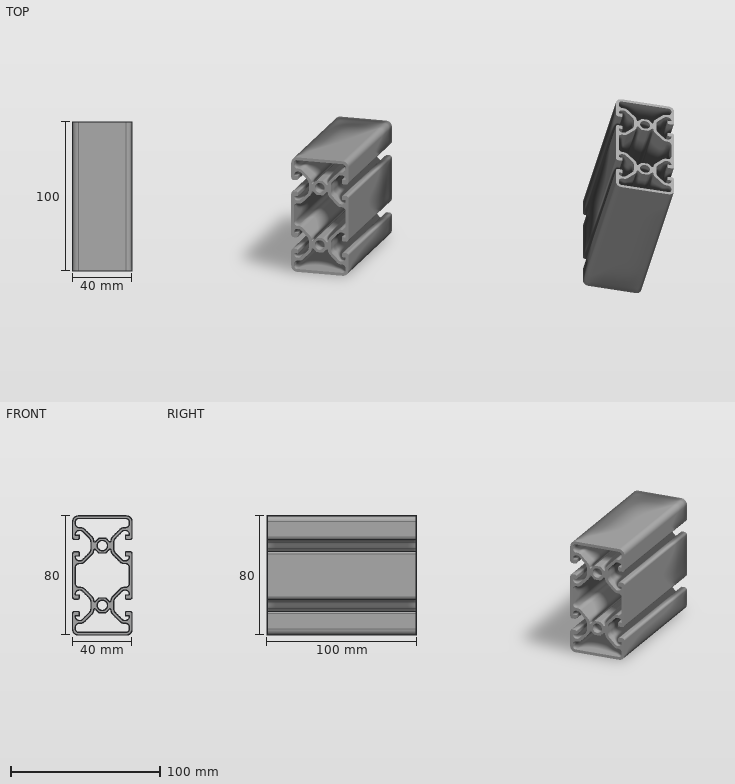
import cadquery as cq
import math

WIDTH = 40.0
HEIGHT = 80.0
LENGTH = 100.0
HALF_WIDTH = WIDTH / 2
HALF_HEIGHT = HEIGHT / 2
CORNER_RADIUS = 4.0

WALL = 2.0
WEB = 2.0
INNER_WALL_X = HALF_WIDTH - WALL
INNER_CORNER_RADIUS = CORNER_RADIUS - WALL

CORE_Z = HEIGHT / 4
BORE_DIAMETER = 6.8
BOSS_HALF_HEIGHT = 5.0
BOSS_HALF_FLAT = 2.3
BOSS_EDGE_RADIUS = 0.6
VALLEY_RADIUS = 0.6

MOUTH_HALF_HEIGHT = 4.0
LIP_THICKNESS = 3.0
LIP_DEPTH = 4.6
LIP_OUTER_RADIUS = 1.6
LIP_INNER_RADIUS = 1.0
POCKET_HALF_HEIGHT = 10.1
POCKET_FLOOR_X = 7.7
POCKET_DIAGONAL_X = 3.8
POCKET_WALL_RADIUS = 2.5
SHELF_BEND_RADIUS = 1.8
NECK_BEND_RADIUS = 4.4

CAVITY_HALF_HEIGHT = POCKET_HALF_HEIGHT + WEB
CAVITY_NECK_X = POCKET_FLOOR_X - WEB
CAVITY_DIAGONAL_X = POCKET_DIAGONAL_X - WEB * math.sqrt(2)
CAVITY_WALL_RADIUS = POCKET_WALL_RADIUS
CAVITY_SHELF_BEND_RADIUS = SHELF_BEND_RADIUS + WEB


def mirror_x(corners):
    """Mirror (x, z, radius) corners across X = 0, reversed so that an outline continues."""
    return [(-x, z, radius) for x, z, radius in reversed(corners)]


def mirror_z(corners):
    """Mirror (x, z, radius) corners across Z = 0, reversed so that an outline continues."""
    return [(x, -z, radius) for x, z, radius in reversed(corners)]


def shift_z(corners, distance):
    """Move (x, z, radius) corners along Z."""
    return [(x, z + distance, radius) for x, z, radius in corners]


def rounded_prism(corners):
    """Extrude a closed outline of (x, z, radius) corners over the length; radius 0 stays sharp."""
    outline = []
    for i, (x, z, radius) in enumerate(corners):
        corner = cq.Vector(x, z)
        before = cq.Vector(*corners[i - 1][:2])
        after = cq.Vector(*corners[(i + 1) % len(corners)][:2])
        to_before = (before - corner).normalized()
        to_after = (after - corner).normalized()
        half_angle = to_before.getAngle(to_after) / 2
        tangent_length = radius / math.tan(half_angle)
        apex_distance = radius / math.sin(half_angle) - radius
        start = corner + to_before * tangent_length
        middle = corner + (to_before + to_after).normalized() * apex_distance
        end = corner + to_after * tangent_length
        outline.append((start, middle, end, radius))

    sketch = cq.Workplane("XZ").moveTo(*outline[0][0].toTuple()[:2])
    for i, (start, middle, end, radius) in enumerate(outline):
        if i > 0:
            sketch = sketch.lineTo(*start.toTuple()[:2])
        if radius > 0:
            sketch = sketch.threePointArc(middle.toTuple()[:2], end.toTuple()[:2])
    return sketch.close().extrude(LENGTH / 2, both=True)


def outer_body():
    """Solid bar with four undercut side slots."""
    lip_end_x = HALF_WIDTH - LIP_DEPTH
    lip_back_z = MOUTH_HALF_HEIGHT + LIP_THICKNESS
    lower_half_slot = [
        (HALF_WIDTH, -MOUTH_HALF_HEIGHT, LIP_OUTER_RADIUS),
        (lip_end_x, -MOUTH_HALF_HEIGHT, LIP_INNER_RADIUS),
        (lip_end_x, -lip_back_z, 0),
        (INNER_WALL_X, -lip_back_z, 0),
        (INNER_WALL_X, -POCKET_HALF_HEIGHT, POCKET_WALL_RADIUS),
        (POCKET_DIAGONAL_X + POCKET_HALF_HEIGHT, -POCKET_HALF_HEIGHT, SHELF_BEND_RADIUS),
        (POCKET_FLOOR_X, POCKET_DIAGONAL_X - POCKET_FLOOR_X, NECK_BEND_RADIUS),
    ]
    slot = lower_half_slot + mirror_z(lower_half_slot)
    upper_right = shift_z(slot, CORE_Z) + [(HALF_WIDTH, HALF_HEIGHT, CORNER_RADIUS)]
    right_side = mirror_z(upper_right) + upper_right
    return rounded_prism(right_side + mirror_x(right_side))


def cavity_floor():
    """Right half of the cavity outline next to a core at Z = 0, from the boss out to the wall."""
    valley_z = BOSS_HALF_FLAT + BOSS_HALF_HEIGHT - CAVITY_NECK_X
    return [
        (BOSS_HALF_FLAT, BOSS_HALF_HEIGHT, BOSS_EDGE_RADIUS),
        (CAVITY_NECK_X, valley_z, VALLEY_RADIUS),
        (CAVITY_NECK_X, CAVITY_NECK_X - CAVITY_DIAGONAL_X, NECK_BEND_RADIUS),
        (CAVITY_DIAGONAL_X + CAVITY_HALF_HEIGHT, CAVITY_HALF_HEIGHT, CAVITY_SHELF_BEND_RADIUS),
        (INNER_WALL_X, CAVITY_HALF_HEIGHT, CAVITY_WALL_RADIUS),
    ]


def end_cavity():
    """Cavity between the upper core and the top wall."""
    right_half = shift_z(cavity_floor(), CORE_Z)
    right_half.append((INNER_WALL_X, HALF_HEIGHT - WALL, INNER_CORNER_RADIUS))
    return rounded_prism(right_half + mirror_x(right_half))


def middle_cavity():
    """Cavity between the two cores."""
    lower_right = shift_z(cavity_floor(), -CORE_Z)
    right_half = lower_right + mirror_z(lower_right)
    return rounded_prism(right_half + mirror_x(right_half))


def core_bores():
    """Through bores on the axes of both cores."""
    return (
        cq.Workplane("XZ")
        .pushPoints([(0, CORE_Z), (0, -CORE_Z)])
        .circle(BORE_DIAMETER / 2)
        .extrude(LENGTH / 2, both=True)
    )


top_cavity = end_cavity()
bottom_cavity = top_cavity.mirror("XY")

result = (
    outer_body()
    .cut(top_cavity)
    .cut(bottom_cavity)
    .cut(middle_cavity())
    .cut(core_bores())
)